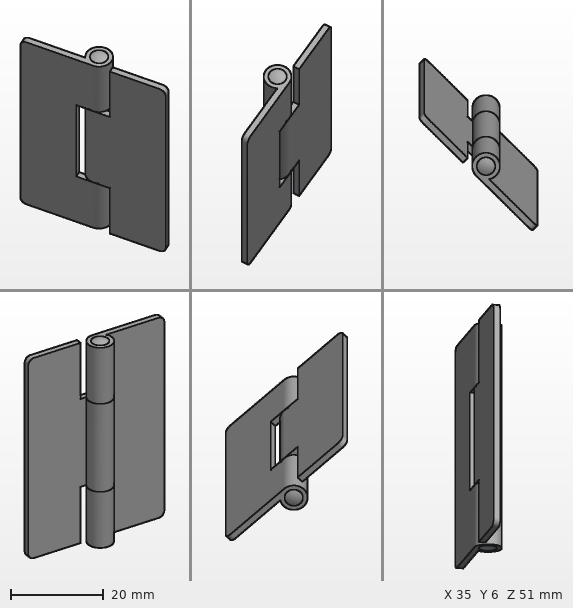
import cadquery as cq

total_height = 51.0
width = 35.0
dome_height = 0.485
leaf_height = total_height - 2 * dome_height
leaf_thickness = 1.5
corner_radius = 1.55

barrel_diameter = 6.0
barrel_radius = barrel_diameter / 2
pin_radius = 2.0
axis_y = barrel_radius
middle_knuckle_height = 22.0
notch_reach = 4.05


def block(x_min, x_max, y_max, height):
    """Box from Y = 0, centred on Z = 0."""
    return (
        cq.Workplane("XY")
        .box(x_max - x_min, y_max, height, centered=(False, False, True))
        .translate((x_min, 0, 0))
    )


def cylinder(radius, height):
    """Cylinder on the pin axis, centred on Z = 0."""
    return cq.Workplane("XY").center(0, axis_y).circle(radius).extrude(height / 2, both=True)


def make_outer_leaf():
    """Left leaf, which carries the top and bottom knuckles."""
    plate = block(-width / 2, 0, leaf_thickness, leaf_height)
    plate = plate.edges("|Y and <X").fillet(corner_radius)
    leaf = plate.union(cylinder(barrel_radius, leaf_height))
    notch = block(-notch_reach, barrel_radius, barrel_diameter, middle_knuckle_height)
    return leaf.cut(notch).cut(cylinder(pin_radius, leaf_height))


def make_middle_leaf():
    """Right leaf, which carries the middle knuckle."""
    plate = block(notch_reach, width / 2, leaf_thickness, leaf_height)
    plate = plate.edges("|Y and >X").fillet(corner_radius)
    tongue = block(0, notch_reach, leaf_thickness, middle_knuckle_height)
    knuckle = cylinder(barrel_radius, middle_knuckle_height)
    return plate.union(tongue).union(knuckle).cut(cylinder(pin_radius, leaf_height))


def make_pin():
    """Pin with a shallow domed head surface at each end, revolved about its axis."""
    half_height = leaf_height / 2
    sphere_radius = (pin_radius**2 + dome_height**2) / (2 * dome_height)
    return (
        cq.Workplane("XZ", origin=(0, axis_y, 0))
        .moveTo(0, -total_height / 2)
        .radiusArc((pin_radius, -half_height), -sphere_radius)
        .lineTo(pin_radius, half_height)
        .radiusArc((0, total_height / 2), -sphere_radius)
        .close()
        .revolve(360, (0, 0, 0), (0, 1, 0))
    )


outer_leaf = make_outer_leaf()
middle_leaf = make_middle_leaf()
pin = make_pin()

result = cq.Compound.makeCompound([outer_leaf.val(), middle_leaf.val(), pin.val()])